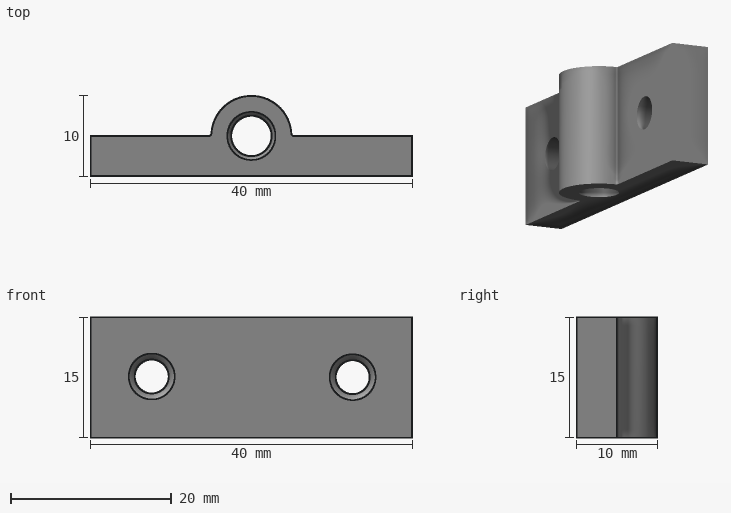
import cadquery as cq

length = 40.0
thickness = 5.0
height = 15.0

barrel_radius = 5.0
barrel_fillet = 0.3
bore_diameter = 5.0
bore_mouth_diameter = 6.0
bore_chamfer_depth = 0.5

screw_centers = [(-12.4, 0.1), (12.6, 0.05)]
screw_diameter = 4.2
screw_mouth_diameter = 5.7
screw_chamfer_depth = 0.6


def make_body():
    plate = cq.Workplane("XY").box(length, thickness, height, centered=(True, False, True))
    barrel = (
        cq.Workplane("XY", origin=(0, thickness, -height / 2))
        .circle(barrel_radius)
        .extrude(height)
    )
    reach = 0.4
    corners = cq.selectors.BoxSelector(
        (-barrel_radius - reach, thickness - reach, -reach),
        (barrel_radius + reach, thickness + reach, reach),
    )
    return plate.union(barrel).edges("|Z").edges(corners).fillet(barrel_fillet)


def chamfered_hole(diameter, mouth_diameter, chamfer_depth, depth):
    """Hole cutter along +Y from y = 0, with a conical mouth at y = 0."""
    radius = diameter / 2
    mouth_radius = mouth_diameter / 2
    return (
        cq.Workplane("XY")
        .polyline([
            (0, 0),
            (mouth_radius, 0),
            (radius, chamfer_depth),
            (radius, depth),
            (0, depth),
        ])
        .close()
        .revolve(360, (0, 0), (0, 1))
    )


result = make_body()

bore = chamfered_hole(bore_diameter, bore_mouth_diameter, bore_chamfer_depth, height)
bore = bore.rotate((0, 0, 0), (1, 0, 0), -90)
result = result.cut(bore.translate((0, thickness, height / 2)))

screw_hole = chamfered_hole(screw_diameter, screw_mouth_diameter, screw_chamfer_depth, thickness)
for x, z in screw_centers:
    result = result.cut(screw_hole.translate((x, 0, z)))